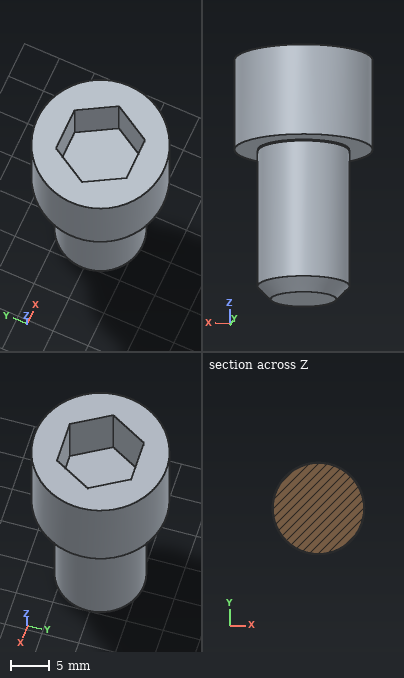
import cadquery as cq
import math

total_length = 32.0
shank_diameter = 12.0
head_diameter = 1.5 * shank_diameter
head_height = shank_diameter
shank_length = total_length - head_height
tip_chamfer = 1.73
neck_height = 0.2
neck_depth = 0.048

socket_across_flats = 10.08
socket_across_corners = socket_across_flats / math.cos(math.radians(30))
socket_depth = 8.0


def make_body():
    """Shank with a chamfered tip, and a shallow neck groove under the head."""
    shank_radius = shank_diameter / 2
    head_radius = head_diameter / 2
    profile = (
        cq.Workplane("XZ")
        .lineTo(shank_radius - tip_chamfer, 0)
        .lineTo(shank_radius, tip_chamfer)
        .lineTo(shank_radius, shank_length - neck_height)
        .lineTo(shank_radius - neck_depth, shank_length - neck_height)
        .lineTo(shank_radius - neck_depth, shank_length)
        .lineTo(head_radius, shank_length)
        .lineTo(head_radius, total_length)
        .lineTo(0, total_length)
        .close()
    )
    return profile.revolve(360, (0, 0, 0), (0, 1, 0))


def make_socket():
    """Hexagonal prism that cuts the drive socket down from the head's top."""
    return (
        cq.Workplane("XY")
        .workplane(offset=total_length)
        .polygon(6, socket_across_corners)
        .extrude(-socket_depth)
    )


result = make_body().cut(make_socket())